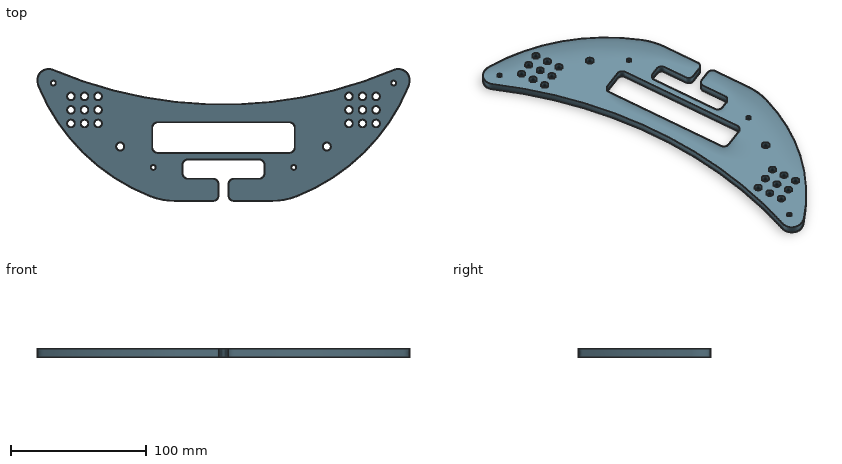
import cadquery as cq
import math

half_width = 274.59 / 2
depth = 97.45
thickness = 6.35

upper_edge_mid_y = 71.2
lower_arc_drop = 6.8
tip_radius = 8.35
shoulder_radius = 12.7
bottom_blend_radius = 50.0

window_length = 105.0
window_bottom = 35.6
window_top = 58.0
window_corner_radius = 4.0

crossbar_length = 60.4
crossbar_bottom = 16.5
crossbar_top = 30.6
crossbar_corner_radius = 4.0
channel_width = 7.3
channel_corner_radius = 4.0

small_hole_diameter = 3.5
small_hole_centers = [(125.5, 87.0), (51.8, 24.8)]
large_hole_diameter = 5.8
large_hole_center = (76.2, 40.2)
grid_hole_diameter = 5.5
grid_center = (102.5, 67.2)
grid_pitch = 10.0
grid_count = 3


def toward(start, end, distance):
    """Point at a distance from start in the direction of end."""
    dx = end[0] - start[0]
    dy = end[1] - start[1]
    scale = distance / math.hypot(dx, dy)
    return (start[0] + dx * scale, start[1] + dy * scale)


def arc_middle(center, start, end, radius):
    """Middle point of the shorter arc between two points on a circle."""
    chord_middle = ((start[0] + end[0]) / 2, (start[1] + end[1]) / 2)
    return toward(center, chord_middle, radius)


def mirrored(point):
    return (-point[0], point[1])


def crescent_plate():
    """Crescent with tangent arcs all round and a straight bottom edge."""
    tip_center = (half_width - tip_radius, depth - tip_radius)
    shoulder_center = (half_width - shoulder_radius, tip_center[1])

    rise = tip_center[1] - upper_edge_mid_y
    upper_radius = (tip_center[0] ** 2 + rise**2 - tip_radius**2) / (2 * (rise + tip_radius))
    upper_center = (0, upper_edge_mid_y + upper_radius)

    height = shoulder_center[1] + lower_arc_drop
    lower_radius = (shoulder_center[0] ** 2 + height**2 - shoulder_radius**2) / (
        2 * (height - shoulder_radius)
    )
    lower_center = (0, lower_radius - lower_arc_drop)

    blend_x = math.sqrt(
        (lower_radius - bottom_blend_radius) ** 2 - (lower_center[1] - bottom_blend_radius) ** 2
    )
    blend_center = (blend_x, bottom_blend_radius)

    flat_end = (blend_x, 0)
    blend_end = toward(lower_center, blend_center, lower_radius)
    shoulder_start = toward(lower_center, shoulder_center, lower_radius)
    tip_start = (half_width, tip_center[1])
    tip_end = toward(tip_center, upper_center, tip_radius)

    blend_mid = arc_middle(blend_center, flat_end, blend_end, bottom_blend_radius)
    lower_mid = arc_middle(lower_center, blend_end, shoulder_start, lower_radius)
    shoulder_mid = arc_middle(shoulder_center, shoulder_start, tip_start, shoulder_radius)
    tip_mid = arc_middle(tip_center, tip_start, tip_end, tip_radius)

    return (
        cq.Workplane("XY")
        .moveTo(*mirrored(flat_end))
        .lineTo(*flat_end)
        .threePointArc(blend_mid, blend_end)
        .threePointArc(lower_mid, shoulder_start)
        .threePointArc(shoulder_mid, tip_start)
        .threePointArc(tip_mid, tip_end)
        .threePointArc((0, upper_edge_mid_y), mirrored(tip_end))
        .threePointArc(mirrored(tip_mid), mirrored(tip_start))
        .threePointArc(mirrored(shoulder_mid), mirrored(shoulder_start))
        .threePointArc(mirrored(lower_mid), mirrored(blend_end))
        .threePointArc(mirrored(blend_mid), mirrored(flat_end))
        .close()
        .extrude(thickness)
    )


def rounded_slot(length, bottom, top, corner_radius):
    """Rectangular cutter centred on X = 0 with rounded vertical corners."""
    return (
        cq.Workplane("XY")
        .center(0, (bottom + top) / 2)
        .rect(length, top - bottom)
        .extrude(thickness)
        .edges("|Z")
        .fillet(corner_radius)
    )


def cut_channel(plate):
    """Channel from the bottom edge into the crossbar, with rounded corners at both ends."""
    channel = (
        cq.Workplane("XY")
        .rect(channel_width, 2 * crossbar_bottom)
        .extrude(thickness)
    )
    corner_zone = cq.selectors.BoxSelector(
        (-channel_width, -channel_width, -thickness),
        (channel_width, crossbar_bottom + channel_width, 2 * thickness),
    )
    return plate.cut(channel).edges("|Z").edges(corner_zone).fillet(channel_corner_radius)


def cut_holes(plate, centers, diameter):
    """Through holes at the given centres and at their mirror images."""
    both_sides = centers + [mirrored(center) for center in centers]
    cutter = cq.Workplane("XY").pushPoints(both_sides).circle(diameter / 2).extrude(thickness)
    return plate.cut(cutter)


def grid_centers():
    """Centres of the square hole grid on the +X side."""
    offsets = [(index - (grid_count - 1) / 2) * grid_pitch for index in range(grid_count)]
    return [(grid_center[0] + dx, grid_center[1] + dy) for dx in offsets for dy in offsets]


plate = crescent_plate()
plate = plate.cut(rounded_slot(window_length, window_bottom, window_top, window_corner_radius))
plate = plate.cut(rounded_slot(crossbar_length, crossbar_bottom, crossbar_top, crossbar_corner_radius))
plate = cut_channel(plate)
plate = cut_holes(plate, small_hole_centers, small_hole_diameter)
plate = cut_holes(plate, [large_hole_center], large_hole_diameter)
plate = cut_holes(plate, grid_centers(), grid_hole_diameter)

result = plate